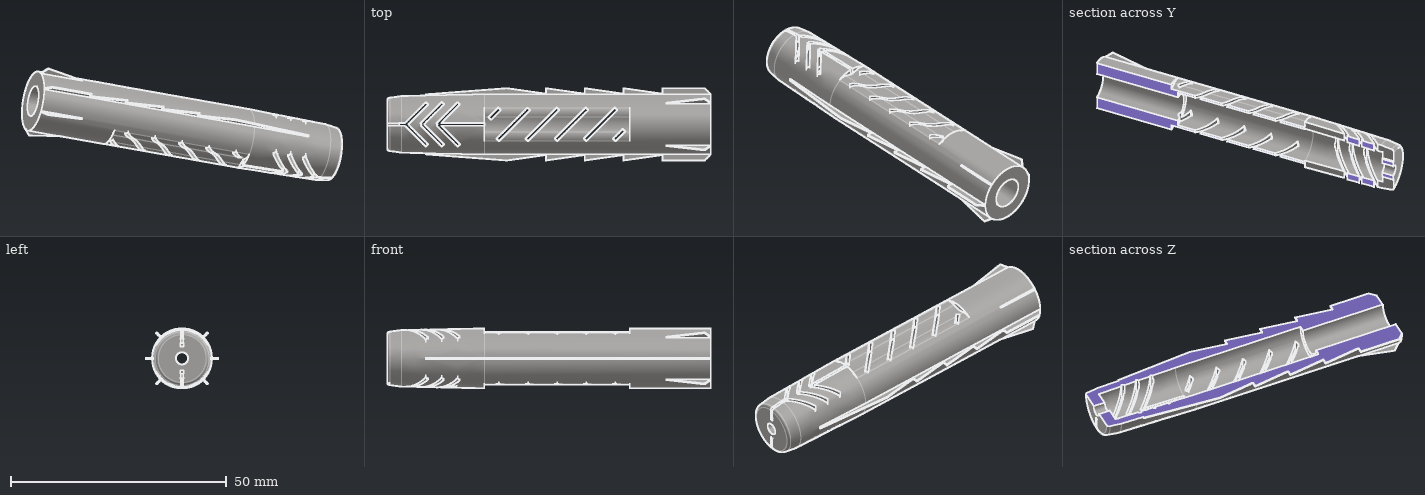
import cadquery as cq
import math


length = 75.0
body_radius = 7.0
tip_radius = 6.15
tip_rounding = 0.7
nose_length = 3.3
nose_radius = 6.6

middle_start = 22.5
middle_length = 33.7

pilot_radius = 2.8 / 2
nose_wall = 2.85
cavity_radius = 9.8 / 2
cavity_end = 54.5
mouth_radius = 3.5
sleeve_wall = body_radius - cavity_radius

recess_half_width = 3.8
valley_half_width = 1.7
valley_radius = cavity_radius
ridge_radius = 2.55

cutter_clearance = 0.75
through_height = 2 * (body_radius + cutter_clearance)

chevron_slot_width = 0.75
diagonal_slot_width = 0.8
slit_width = 0.6
slit_floor = 2.8
chevron_first_tip = 4.35
chevron_pitch = 3.7
chevron_count = 3
chevron_half_width = 4.9
diagonal_pitch = 6.75
diagonal_half_width = 3.6
diagonal_count = 6
short_diagonal_inner = 1.35

fin_radius = 8.4
fin_thickness = 0.3
fin_root_radius = 6.0
tooth_low_radius = 7.1
tooth_pitch = 9.0
tooth_count = 4
side_fin_start = 8.9
last_tooth = 63.75
mouth_fin_start = 64.7
fin_chamfer = fin_radius - body_radius


def make_sleeve():
    """Solid of revolution: rounded face, short nose cone, long taper, cylinder."""
    sleeve = (
        cq.Workplane("XY")
        .lineTo(0, tip_radius)
        .lineTo(nose_length, nose_radius)
        .lineTo(middle_start, body_radius)
        .lineTo(length, body_radius)
        .lineTo(length, 0)
        .close()
        .revolve(360, (0, 0, 0), (1, 0, 0))
    )
    return sleeve.faces("<X").edges().fillet(tip_rounding)


def make_hollow():
    """Pilot hole, cavity that widens with the nose taper, and a narrower mouth behind it."""
    return (
        cq.Workplane("XY")
        .lineTo(0, pilot_radius)
        .lineTo(nose_wall, pilot_radius)
        .lineTo(nose_wall, nose_radius - sleeve_wall)
        .lineTo(middle_start, cavity_radius)
        .lineTo(cavity_end, cavity_radius)
        .lineTo(cavity_end, mouth_radius)
        .lineTo(length, mouth_radius)
        .lineTo(length, 0)
        .close()
        .revolve(360, (0, 0, 0), (1, 0, 0))
    )


def make_recess():
    """Cutter over the ridged top; the ridges are tangent to the valley and end on the body surface."""
    sine = valley_half_width / valley_radius
    cosine = math.sqrt(1 - sine**2)
    corner_z = math.sqrt(body_radius**2 - recess_half_width**2)
    ridge_y = (valley_radius + ridge_radius) * sine
    ridge_z = corner_z - math.sqrt(ridge_radius**2 - (recess_half_width - ridge_y) ** 2)
    ridge_top = ridge_z + ridge_radius
    crease_z = ridge_z + ridge_radius * cosine
    valley_z = crease_z - valley_radius * (1 - cosine)
    clear_z = body_radius + cutter_clearance
    return (
        cq.Workplane("YZ", origin=(middle_start, 0, 0))
        .moveTo(-recess_half_width, corner_z)
        .threePointArc((-ridge_y, ridge_top), (-valley_half_width, crease_z))
        .threePointArc((0, valley_z), (valley_half_width, crease_z))
        .threePointArc((ridge_y, ridge_top), (recess_half_width, corner_z))
        .lineTo(recess_half_width, clear_z)
        .lineTo(-recess_half_width, clear_z)
        .close()
        .extrude(middle_length)
    )


def make_slot(start, end, width):
    """Square-ended slot through the full height, along the line between two XY points."""
    run = end[0] - start[0]
    rise = end[1] - start[1]
    return (
        cq.Workplane("XY")
        .box(math.hypot(run, rise), width, through_height)
        .rotate((0, 0, 0), (0, 0, 1), math.degrees(math.atan2(rise, run)))
        .translate(((start[0] + end[0]) / 2, (start[1] + end[1]) / 2, 0))
    )


def make_chevron(tip):
    tail = tip + chevron_half_width
    upper = make_slot((tip, 0), (tail, chevron_half_width), chevron_slot_width)
    lower = make_slot((tip, 0), (tail, -chevron_half_width), chevron_slot_width)
    return upper.union(lower)


def make_diagonal(center, bottom, top):
    return make_slot((center + bottom, bottom), (center + top, top), diagonal_slot_width)


def make_slit(start, end):
    """Pair of lengthwise slits, above and below the pilot hole."""
    height = body_radius + cutter_clearance - slit_floor
    upper = cq.Workplane("XY").box(end - start, slit_width, height, centered=(False, True, False))
    upper = upper.translate((start, 0, slit_floor))
    return upper.union(upper.mirror("XY"))


def make_side_fin():
    """Saw-toothed fin on the +Y side, rising gently to its first peak."""
    first_step = last_tooth - (tooth_count - 1) * tooth_pitch
    outline = (
        cq.Workplane("XY")
        .moveTo(side_fin_start, fin_root_radius)
        .lineTo(side_fin_start, body_radius)
        .lineTo(first_step - tooth_pitch, fin_radius)
    )
    for index in range(tooth_count):
        step = first_step + index * tooth_pitch
        outline = outline.lineTo(step, tooth_low_radius).lineTo(step, fin_radius)
    return (
        outline.lineTo(length - fin_chamfer, fin_radius)
        .lineTo(length, body_radius)
        .lineTo(length, fin_root_radius)
        .close()
        .extrude(fin_thickness / 2, both=True)
    )


def make_mouth_fin():
    """Plain wedge fin near the mouth, drawn on the +Y side."""
    return (
        cq.Workplane("XY")
        .moveTo(mouth_fin_start, fin_root_radius)
        .lineTo(mouth_fin_start, body_radius)
        .lineTo(length - fin_chamfer, fin_radius)
        .lineTo(length, body_radius)
        .lineTo(length, fin_root_radius)
        .close()
        .extrude(fin_thickness / 2, both=True)
    )


def turn_about_axis(shape, angle):
    return shape.rotate((0, 0, 0), (1, 0, 0), angle)


result = make_sleeve()

for angle in (0, 180):
    result = result.union(turn_about_axis(make_side_fin(), angle))
for angle in (45, 135, 225, 315):
    result = result.union(turn_about_axis(make_mouth_fin(), angle))

result = result.cut(make_hollow())

recess = make_recess()
result = result.cut(recess).cut(recess.mirror("XY"))

last_tip = chevron_first_tip + (chevron_count - 1) * chevron_pitch
for index in range(chevron_count):
    result = result.cut(make_chevron(chevron_first_tip + index * chevron_pitch))
result = result.cut(make_slit(0, chevron_first_tip))
result = result.cut(make_slit(last_tip, middle_start))

middle_center = middle_start + middle_length / 2
for index in range(diagonal_count):
    center = middle_center + (index - (diagonal_count - 1) / 2) * diagonal_pitch
    bottom = short_diagonal_inner if index == 0 else -diagonal_half_width
    top = -short_diagonal_inner if index == diagonal_count - 1 else diagonal_half_width
    result = result.cut(make_diagonal(center, bottom, top))